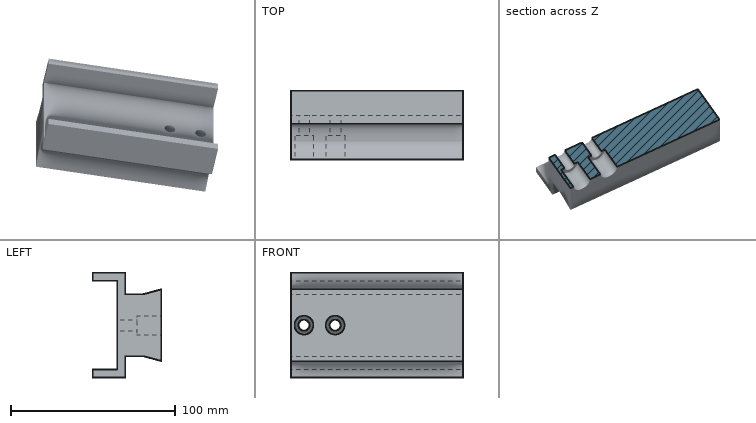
import cadquery as cq
import math

length = 105.0
depth = 42.0
height = 64.0

wall = 5.0
channel_depth = 20.0
channel_front = depth - channel_depth
web_back = channel_front + wall

dovetail_height = 43.8
dovetail_angle = 15.0
flare_depth = channel_front / 2
flare_rise = flare_depth * math.tan(math.radians(dovetail_angle))
neck_height = dovetail_height - 2 * flare_rise

hole_diameter = 6.6
counterbore_diameter = 11.5
counterbore_depth = 15.0
first_hole_x = 8.0
hole_spacing = 19.0
hole_count = 2


def rail_body():
    """Extrude the channel and dovetail profile along X."""
    upper_half = [
        (0, dovetail_height / 2),
        (flare_depth, neck_height / 2),
        (channel_front, neck_height / 2),
        (channel_front, height / 2),
        (depth, height / 2),
        (depth, height / 2 - wall),
        (web_back, height / 2 - wall),
    ]
    lower_half = [(y, -z) for y, z in reversed(upper_half)]
    return cq.Workplane("YZ").polyline(upper_half + lower_half).close().extrude(length)


def bore(x, diameter, bore_depth):
    """Cylinder running from the front face toward +Y."""
    return cq.Workplane("XZ").center(x, 0).circle(diameter / 2).extrude(-bore_depth)


result = rail_body()
for index in range(hole_count):
    hole_x = first_hole_x + index * hole_spacing
    result = result.cut(bore(hole_x, hole_diameter, depth))
    result = result.cut(bore(hole_x, counterbore_diameter, counterbore_depth))